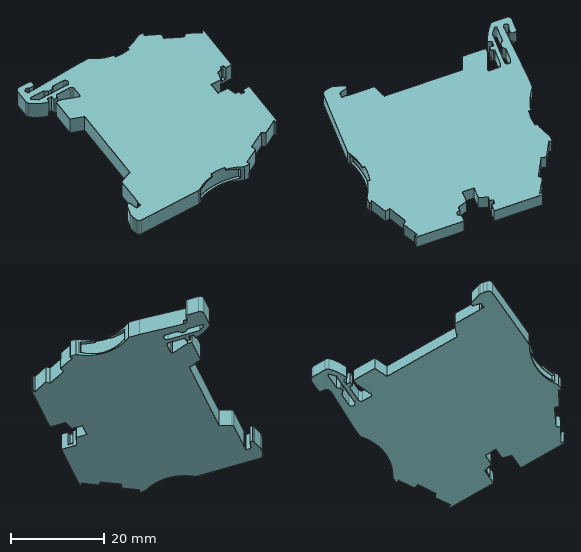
import cadquery as cq
import math


thickness = 5.0
height = 42.5
right_edge = 21.0
left_edge = -23.2

notch_half_width = 3.42
notch_shoulder_y = 38.95
slot_half_width = 1.33
slot_top_y = 38.3
slot_floor_y = 35.85

grip_radius = 10.2
grip_center_y = 24.1
grip_apex_x = 19.25
grip_center_x = grip_apex_x + grip_radius
grip_top_y = 29.4
grip_bottom_y = 18.75

runout_top_y = 29.9
right_runout_y = 18.2
left_runout_x = -21.58
left_runout_y = 17.6
left_flank_bend_y = 15.1

pocket_depth = 0.55
pocket_top_y = 29.1
pocket_bottom_y = 18.9
pocket_end_low_z = 0.95
pocket_end_high_z = 4.1
pocket_crown = 0.65
pocket_window_top_y = 26.2
pocket_window_bottom_y = 22.75
pocket_window_z = 4.5

wire_pocket_floor_z = 1.0
wire_pocket_depth = 0.75
wire_pocket_top_y = 40.95
wire_pocket_bottom_y = 39.8
wire_pocket_taper = 0.2

rail_roof_y = 8.43
rail_roof_half_width = 8.9
rail_left_land_y = 5.4
rail_right_land_y = 5.55
rail_flank_run = 1.15
rail_foot_tangent = 0.25
rail_stop_x = 17.55
rail_bump_left_x = 16.5
rail_bump_right_x = 17.05
rail_bump_height = 0.12

heel_start = (right_edge, 3.6)
heel_middle = (20.75, 2.95)
heel_end = (20.2, 2.65)
sole_right = (19.4, 2.45)
sole_left = (18.6, 2.38)
toe_middle = (18.4, 2.41)
toe_end = (18.2, 2.48)
fixed_hook_tip = [(16.0, 3.12), (15.7, 3.35), (15.7, 3.9)]
fixed_hook_throat = [(17.25, 4.3), (rail_stop_x, 4.5)]

latch_gap_left_x = -17.1
latch_gap_roof_y = 10.65
latch_gap_radius = 0.65
latch_gap_right_corner = [(-14.0, 10.35), (-14.2, latch_gap_roof_y)]
body_nose_x = -15.5
body_nose_y = 6.4

catch_tip_x = -16.3
catch_root_x = -17.25
catch_step_x = latch_gap_left_x + 0.25
catch_upper_y = 6.35
catch_root_y = 4.35
catch_tip_y = 4.1
catch_blend_height = 0.15

foot_side_middle = (-17.12, 2.17)
foot_toe_start = (-18.45, 0.25)
foot_toe_middle = (-18.8, 0.05)
foot_toe_end = (-19.2, 0)
foot_corner_radius = 0.95

hook_top_y = 4.0
hook_corner = 0.5
hook_inner_x = -21.7
hook_neck_y = 2.7
bulb_x = -21.4
bulb_y = 2.0
bulb_radius = 0.55
bulb_shoulder_y = 2.4
stem_bottom_x = bulb_x + bulb_radius

relief_left_x = -19.45
relief_right_x = -18.05
relief_top_y = 10.55
relief_radius = (relief_right_x - relief_left_x) / 2
relief_bulge_x = -18.8
relief_bulge_y = 6.0
relief_bulge_inner_height = 0.8
relief_bulge_outer_height = 2.3
relief_toe_start = (relief_left_x, 1.6)
relief_toe_middle = (-19.2, 1.35)
relief_toe_end = (-18.9, 1.5)
relief_slant_top_y = 2.6

web_thickness = 0.95
web_fillet = 0.35
web_fillet_top_y = 5.1
web_stem_y = 5.4
web_edge_middle = (-21.3, 4.4)
web_hook_x = -22.2
web_bottom_y = bulb_y - bulb_radius

flank_steps = [
    (14.5, height),
    (14.63, 42.1),
    (14.07, 41.9),
    (15.9, 38.7),
    (15.25, 37.95),
    (17.33, 34.1),
    (18.45, 34.35),
    (20.28, 30.95),
    (20.75, 31.3),
    (right_edge, 31.1),
    (right_edge, runout_top_y),
]


def grip_surface_x(y):
    """Distance of the finger grip surface from X = 0 at the given Y."""
    return grip_center_x - math.sqrt(grip_radius**2 - (y - grip_center_y) ** 2)


def mirrored(points):
    """The same points on the opposite side of X = 0, in reverse order."""
    return [(-x, y) for x, y in reversed(points)]


def draw_upper_edge(outline):
    """From the left finger grip over the top edge and notch to the right one."""
    half_notch = [
        (slot_half_width, slot_floor_y),
        (slot_half_width, slot_top_y),
        (notch_half_width, notch_shoulder_y),
        (notch_half_width, height),
    ]
    half_edge = half_notch + flank_steps
    for point in mirrored(half_edge) + half_edge:
        outline = outline.lineTo(*point)
    return outline


def draw_fixed_hook(outline):
    """Right flank and the fixed hook that grips the rail."""
    bump_y = rail_right_land_y - rail_bump_height
    outline = outline.lineTo(*heel_start).threePointArc(heel_middle, heel_end)
    outline = outline.lineTo(*sole_right).lineTo(*sole_left).threePointArc(toe_middle, toe_end)
    for point in fixed_hook_tip + fixed_hook_throat:
        outline = outline.lineTo(*point)
    return (
        outline.lineTo(rail_stop_x, rail_right_land_y)
        .lineTo(rail_bump_right_x, rail_right_land_y)
        .lineTo(rail_bump_right_x, bump_y)
        .lineTo(rail_bump_left_x, bump_y)
        .lineTo(rail_bump_left_x, rail_right_land_y)
    )


def draw_rail_seat(outline):
    """Trapezoidal recess over the rail, rounded at its right foot, and the land left of it."""
    flank_foot_x = rail_roof_half_width + rail_flank_run
    flank_angle = math.atan2(rail_roof_y - rail_right_land_y, rail_flank_run)
    round_end = (
        flank_foot_x - rail_foot_tangent * math.cos(flank_angle),
        rail_right_land_y + rail_foot_tangent * math.sin(flank_angle),
    )
    return (
        outline.lineTo(flank_foot_x + rail_foot_tangent, rail_right_land_y)
        .tangentArcPoint(round_end, relative=False)
        .lineTo(rail_roof_half_width, rail_roof_y)
        .lineTo(-rail_roof_half_width, rail_roof_y)
        .lineTo(-flank_foot_x, rail_left_land_y)
        .lineTo(body_nose_x, rail_left_land_y)
        .lineTo(body_nose_x, body_nose_y)
    )


def draw_latch_gap(outline):
    """Gap between the body and the latch stem, with the rail catch below it."""
    for point in latch_gap_right_corner:
        outline = outline.lineTo(*point)
    return (
        outline.lineTo(latch_gap_left_x + latch_gap_radius, latch_gap_roof_y)
        .tangentArcPoint((latch_gap_left_x, latch_gap_roof_y - latch_gap_radius), relative=False)
        .lineTo(latch_gap_left_x, catch_upper_y + catch_blend_height)
        .lineTo(catch_step_x, catch_upper_y)
        .lineTo(catch_tip_x, catch_upper_y)
        .lineTo(catch_tip_x, rail_left_land_y)
        .lineTo(catch_root_x, rail_left_land_y)
        .lineTo(catch_root_x, catch_root_y)
        .lineTo(catch_tip_x, catch_tip_y)
    )


def draw_latch_foot(outline):
    """Foot of the latch, its outer hook and the slot behind the hook."""
    hook_shoulder_y = hook_top_y - hook_corner
    bulb_left_x = bulb_x - bulb_radius
    return (
        outline.threePointArc(foot_side_middle, foot_toe_start)
        .threePointArc(foot_toe_middle, foot_toe_end)
        .lineTo(left_edge + foot_corner_radius, 0)
        .tangentArcPoint((left_edge, foot_corner_radius), relative=False)
        .lineTo(left_edge, hook_shoulder_y)
        .tangentArcPoint((left_edge + hook_corner, hook_top_y), relative=False)
        .lineTo(hook_inner_x - hook_corner, hook_top_y)
        .tangentArcPoint((hook_inner_x, hook_shoulder_y), relative=False)
        .lineTo(hook_inner_x, hook_neck_y)
        .lineTo(bulb_left_x, bulb_shoulder_y)
        .lineTo(bulb_left_x, bulb_y)
        .tangentArcPoint((stem_bottom_x, bulb_y), relative=False)
    )


def make_body():
    """Full-thickness slice with its closed outline, starting on the left flank."""
    grip_top_x = grip_surface_x(grip_top_y)
    grip_bottom_x = grip_surface_x(grip_bottom_y)
    outline = cq.Workplane("XY").moveTo(left_runout_x, left_flank_bend_y)
    outline = outline.lineTo(left_runout_x, left_runout_y).lineTo(-grip_bottom_x, grip_bottom_y)
    outline = outline.threePointArc((-grip_apex_x, grip_center_y), (-grip_top_x, grip_top_y))
    outline = draw_upper_edge(outline)
    outline = outline.lineTo(grip_top_x, grip_top_y)
    outline = outline.threePointArc((grip_apex_x, grip_center_y), (grip_bottom_x, grip_bottom_y))
    outline = outline.lineTo(right_edge, right_runout_y)
    outline = draw_fixed_hook(outline)
    outline = draw_rail_seat(outline)
    outline = draw_latch_gap(outline)
    outline = draw_latch_foot(outline)
    return outline.close().extrude(thickness)


def make_relief_slot():
    """Slot with a round top, a bulge in its left wall and a slanted toe."""
    shoulder_y = relief_top_y - relief_radius
    middle_x = (relief_left_x + relief_right_x) / 2
    return (
        cq.Workplane("XY")
        .moveTo(relief_right_x, shoulder_y)
        .threePointArc((middle_x, relief_top_y), (relief_left_x, shoulder_y))
        .lineTo(relief_left_x, relief_bulge_y + relief_bulge_outer_height / 2)
        .lineTo(relief_bulge_x, relief_bulge_y + relief_bulge_inner_height / 2)
        .lineTo(relief_bulge_x, relief_bulge_y - relief_bulge_inner_height / 2)
        .lineTo(relief_left_x, relief_bulge_y - relief_bulge_outer_height / 2)
        .lineTo(*relief_toe_start)
        .threePointArc(relief_toe_middle, relief_toe_end)
        .lineTo(relief_right_x, relief_slant_top_y)
        .close()
        .extrude(thickness)
    )


def make_wire_pocket():
    """Tapered pocket in the right-hand notch wall, open at the top face."""
    back_x = notch_half_width + wire_pocket_depth
    return (
        cq.Workplane("XY", origin=(0, 0, wire_pocket_floor_z))
        .polyline([
            (notch_half_width, wire_pocket_top_y),
            (back_x, wire_pocket_top_y - wire_pocket_taper),
            (back_x, wire_pocket_bottom_y + wire_pocket_taper),
            (notch_half_width, wire_pocket_bottom_y),
        ])
        .close()
        .extrude(thickness - wire_pocket_floor_z)
    )


def make_label_pocket():
    """Barrel-shaped pocket of even depth in the right-hand grip, with a window in the top face."""
    middle_y = (pocket_top_y + pocket_bottom_y) / 2
    reach = right_edge + pocket_depth
    barrel = (
        cq.Workplane("YZ")
        .moveTo(pocket_bottom_y, pocket_end_low_z)
        .threePointArc((middle_y, pocket_end_low_z - pocket_crown), (pocket_top_y, pocket_end_low_z))
        .lineTo(pocket_top_y, pocket_end_high_z)
        .threePointArc((middle_y, pocket_end_high_z + pocket_crown), (pocket_bottom_y, pocket_end_high_z))
        .close()
        .extrude(reach)
    )
    window_length = pocket_window_top_y - pocket_window_bottom_y
    window = cq.Workplane("XY", origin=(0, pocket_window_bottom_y, pocket_window_z)).box(
        reach, window_length, thickness - pocket_window_z, centered=False
    )
    grip_cylinder = (
        cq.Workplane("XY")
        .center(grip_center_x, grip_center_y)
        .circle(grip_radius + pocket_depth)
        .extrude(thickness)
    )
    return barrel.union(window).intersect(grip_cylinder)


def make_hook_web():
    """Web across the hook slot, with a concave fillet running up the latch stem."""
    floor = (
        cq.Workplane("XY")
        .moveTo(stem_bottom_x, web_stem_y)
        .threePointArc(web_edge_middle, (web_hook_x, hook_top_y))
        .lineTo(web_hook_x, web_bottom_y)
        .lineTo(stem_bottom_x, web_bottom_y)
        .close()
        .extrude(web_thickness)
    )
    fillet_foot_x = stem_bottom_x - web_fillet
    stem_fillet = (
        cq.Workplane("XZ", origin=(0, web_bottom_y, 0))
        .moveTo(fillet_foot_x, 0)
        .lineTo(stem_bottom_x, 0)
        .lineTo(stem_bottom_x, web_thickness + web_fillet)
        .radiusArc((fillet_foot_x, web_thickness), web_fillet)
        .close()
        .extrude(web_bottom_y - web_fillet_top_y)
    )
    return floor.union(stem_fillet)


result = make_body().cut(make_relief_slot())
for pocket in (make_wire_pocket(), make_label_pocket()):
    result = result.cut(pocket).cut(pocket.mirror("YZ"))
result = result.union(make_hook_web())